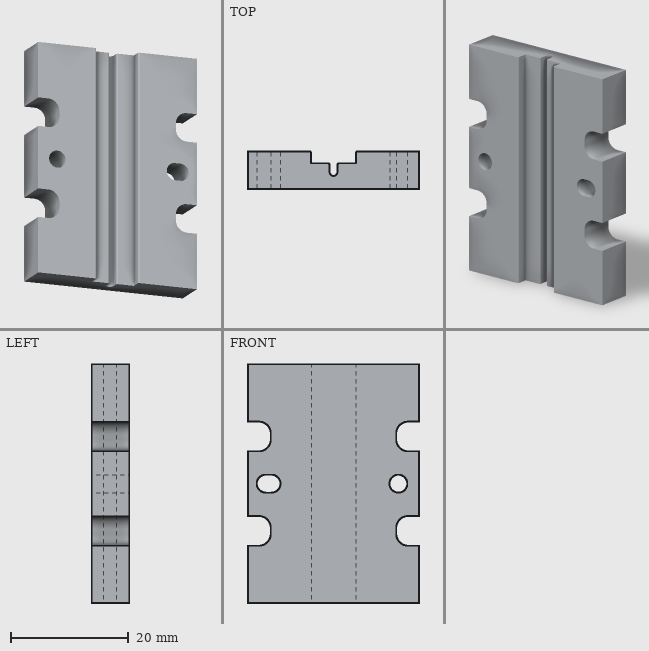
import cadquery as cq

WIDTH = 29.0
THICKNESS = 6.4
HEIGHT = 40.5

NOTCH_DEPTH = 3.85
NOTCH_HEIGHT = 5.0
NOTCH_RADIUS = 2.0
NOTCH_SPACING = 16.0

HOLE_DIAMETER = 3.0
HOLE_SPACING = 22.0
SLOT_LENGTH = 4.0

CHANNEL_WIDTH = 7.6
CHANNEL_DEPTH = 2.0
GROOVE_WIDTH = 1.3
GROOVE_DEPTH = 2.15
EDGE_RADIUS = 0.3

BACK_Y = THICKNESS / 2
CHANNEL_FLOOR_Y = BACK_Y - CHANNEL_DEPTH
GROOVE_BOTTOM_Y = CHANNEL_FLOOR_Y - GROOVE_DEPTH


def make_profile_plate():
    """Extrude the XY cross-section, channel included, along Z."""
    half_width = WIDTH / 2
    half_channel = CHANNEL_WIDTH / 2
    half_groove = GROOVE_WIDTH / 2
    groove_arc_y = GROOVE_BOTTOM_Y + half_groove
    profile = (
        cq.Workplane("XY")
        .workplane(offset=-HEIGHT / 2)
        .moveTo(-half_width, -THICKNESS / 2)
        .lineTo(half_width, -THICKNESS / 2)
        .lineTo(half_width, BACK_Y)
        .lineTo(half_channel, BACK_Y)
        .lineTo(half_channel, CHANNEL_FLOOR_Y)
        .lineTo(half_groove, CHANNEL_FLOOR_Y)
        .lineTo(half_groove, groove_arc_y)
        .threePointArc((0, GROOVE_BOTTOM_Y), (-half_groove, groove_arc_y))
        .lineTo(-half_groove, CHANNEL_FLOOR_Y)
        .lineTo(-half_channel, CHANNEL_FLOOR_Y)
        .lineTo(-half_channel, BACK_Y)
        .lineTo(-half_width, BACK_Y)
        .close()
    )
    plate = profile.extrude(HEIGHT)

    for half_opening, y in ((half_channel, BACK_Y), (half_groove, CHANNEL_FLOOR_Y)):
        for x in (-half_opening, half_opening):
            plate = plate.edges(cq.NearestToPointSelector((x, y, 0))).fillet(EDGE_RADIUS)
    return plate


def make_notch_cutters():
    """Blocks centred on the side edges, reaching one notch depth into the plate."""
    half_spacing = NOTCH_SPACING / 2
    centres = [(x, z) for x in (-WIDTH / 2, WIDTH / 2) for z in (-half_spacing, half_spacing)]
    return (
        cq.Workplane("XZ")
        .pushPoints(centres)
        .rect(2 * NOTCH_DEPTH, NOTCH_HEIGHT)
        .extrude(THICKNESS, both=True)
        .edges("|Y")
        .fillet(NOTCH_RADIUS)
    )


def make_locating_cutters():
    """Round hole on the +X side and a slot elongated along X on the -X side."""
    hole = (
        cq.Workplane("XZ")
        .center(HOLE_SPACING / 2, 0)
        .circle(HOLE_DIAMETER / 2)
        .extrude(THICKNESS, both=True)
    )
    slot = (
        cq.Workplane("XZ")
        .center(-HOLE_SPACING / 2, 0)
        .slot2D(SLOT_LENGTH, HOLE_DIAMETER)
        .extrude(THICKNESS, both=True)
    )
    return hole.union(slot)


result = make_profile_plate().cut(make_notch_cutters()).cut(make_locating_cutters())